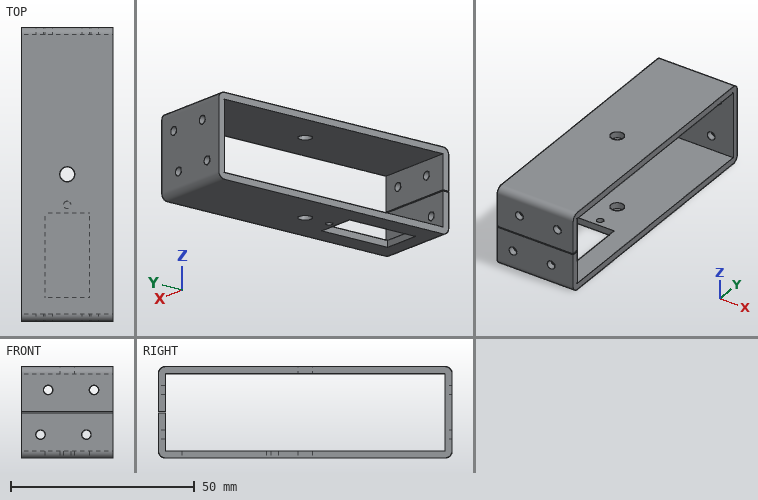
import cadquery as cq

length = 80.0
width = 25.0
height = 25.0
wall = 2.0
corner_radius = wall
seam_gap = 0.3

center_hole_diameter = 4.0
end_hole_diameter = 2.5
end_hole_spacing = 12.5
end_hole_height = 6.1
end_row_shift = 1.0

window_width = 12.2
window_length = 23.0
window_start = 10.6
screw_hole_diameter = 2.0
screw_hole_offset = 2.2

floor_middle = -(height - wall) / 2
front_wall_middle = -(length - wall) / 2


def frame():
    """Rectangular loop with rounded outer and sharp inner corners."""
    outer = cq.Workplane("XY").box(width, length, height).edges("|X").fillet(corner_radius)
    opening = cq.Workplane("XY").box(width, length - 2 * wall, height - 2 * wall)
    return outer.cut(opening)


def seam():
    """Narrow slit where the strip ends meet in the -Y wall."""
    return cq.Workplane("XY").box(width, 2 * wall, seam_gap).translate((0, front_wall_middle, 0))


def center_hole():
    """Vertical hole through the top and the floor."""
    return cq.Workplane("XY").circle(center_hole_diameter / 2).extrude(height, both=True)


def end_holes():
    """Two staggered rows of holes through both end walls."""
    centers = []
    for row in (1, -1):
        for side in (1, -1):
            x = row * end_row_shift + side * end_hole_spacing / 2
            centers.append((x, row * end_hole_height))
    sketch = cq.Workplane("XZ").pushPoints(centers)
    return sketch.circle(end_hole_diameter / 2).extrude(length, both=True)


def floor_window():
    """Rectangular opening through the floor."""
    window_center = -(window_start + window_length / 2)
    window = cq.Workplane("XY").box(window_width, window_length, 2 * wall)
    return window.translate((0, window_center, floor_middle))


def screw_hole():
    """Small hole through the floor beside the window."""
    hole = cq.Workplane("XY").cylinder(2 * wall, screw_hole_diameter / 2)
    return hole.translate((0, screw_hole_offset - window_start, floor_middle))


result = (
    frame()
    .cut(seam())
    .cut(center_hole())
    .cut(end_holes())
    .cut(floor_window())
    .cut(screw_hole())
)